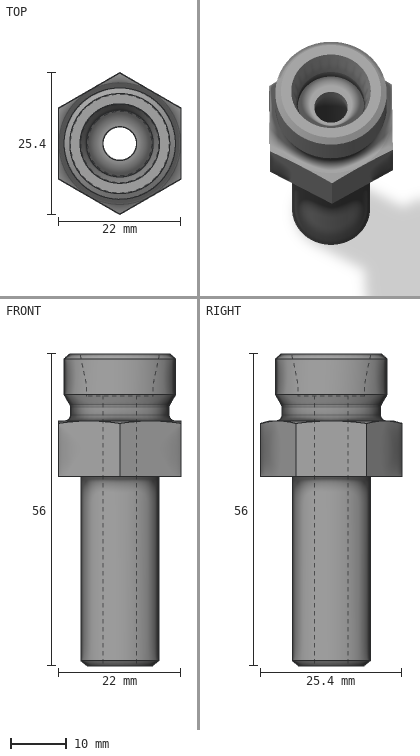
import cadquery as cq
import math

total_height = 56.0
hex_bottom = 34.0
hex_top = 44.0
collar_bottom = 48.7

stem_diameter = 14.0
stem_chamfer_height = 1.0
stem_chamfer_width = 1.25

hex_across_flats = 22.0
hex_top_circle_diameter = 21.85
hex_chamfer_angle = 15.0
corner_clearance = 0.55

collar_diameter = 20.0
collar_chamfer_height = 0.9
collar_chamfer_width = 1.0
neck_diameter = 17.7
relief_angle = 30.0
relief_fillet = 1.0

bore_diameter = 6.0
seat_diameter = 12.0
mouth_diameter = 14.3
seat_half_angle = 12.0
socket_depth = 7.5


def make_stem():
    radius = stem_diameter / 2
    return (
        cq.Workplane("XZ")
        .lineTo(radius - stem_chamfer_width, 0)
        .lineTo(radius, stem_chamfer_height)
        .lineTo(radius, hex_bottom)
        .lineTo(0, hex_bottom)
        .close()
        .revolve(360, (0, 0), (0, 1))
    )


def make_hexagon():
    """Hexagon with corners on Y, its upper corners cut by a shallow cone."""
    corner_diameter = hex_across_flats / math.cos(math.radians(30))
    prism = (
        cq.Workplane("XY", origin=(0, 0, hex_bottom))
        .polygon(6, corner_diameter)
        .extrude(hex_top - hex_bottom)
        .rotate((0, 0, 0), (0, 0, 1), 30)
    )
    top_radius = hex_top_circle_diameter / 2
    cone_radius = corner_diameter / 2 + corner_clearance
    cone_drop = (cone_radius - top_radius) * math.tan(math.radians(hex_chamfer_angle))
    envelope = (
        cq.Workplane("XZ")
        .moveTo(0, hex_bottom)
        .lineTo(cone_radius, hex_bottom)
        .lineTo(cone_radius, hex_top - cone_drop)
        .lineTo(top_radius, hex_top)
        .lineTo(0, hex_top)
        .close()
        .revolve(360, (0, 0), (0, 1))
    )
    return prism.intersect(envelope)


def make_collar():
    """Collar above a relief groove that is rounded into the hexagon and the cone."""
    radius = collar_diameter / 2
    neck_radius = neck_diameter / 2
    slope = math.radians(relief_angle)
    cone_end = collar_bottom - (radius - neck_radius) / math.tan(slope)

    tangent = relief_fillet * math.tan(slope / 2)
    upper_start = cone_end - tangent
    upper_end = (neck_radius + tangent * math.sin(slope), cone_end + tangent * math.cos(slope))
    upper_middle = (
        neck_radius + relief_fillet * (1 - math.cos(slope / 2)),
        upper_start + relief_fillet * math.sin(slope / 2),
    )
    lower_inset = relief_fillet * (1 - math.sqrt(0.5))
    lower_middle = (neck_radius + lower_inset, hex_top + lower_inset)

    return (
        cq.Workplane("XZ")
        .moveTo(0, hex_top)
        .lineTo(neck_radius + relief_fillet, hex_top)
        .threePointArc(lower_middle, (neck_radius, hex_top + relief_fillet))
        .lineTo(neck_radius, upper_start)
        .threePointArc(upper_middle, upper_end)
        .lineTo(radius, collar_bottom)
        .lineTo(radius, total_height - collar_chamfer_height)
        .lineTo(radius - collar_chamfer_width, total_height)
        .lineTo(0, total_height)
        .close()
        .revolve(360, (0, 0), (0, 1))
    )


def make_bore():
    """Through hole opening into a flat socket with a conical mouth."""
    mouth_radius = mouth_diameter / 2
    seat_radius = seat_diameter / 2
    cone_depth = (mouth_radius - seat_radius) / math.tan(math.radians(seat_half_angle))
    return (
        cq.Workplane("XZ")
        .lineTo(bore_diameter / 2, 0)
        .lineTo(bore_diameter / 2, total_height - socket_depth)
        .lineTo(seat_radius, total_height - socket_depth)
        .lineTo(seat_radius, total_height - cone_depth)
        .lineTo(mouth_radius, total_height)
        .lineTo(0, total_height)
        .close()
        .revolve(360, (0, 0), (0, 1))
    )


result = make_stem().union(make_hexagon()).union(make_collar()).cut(make_bore())